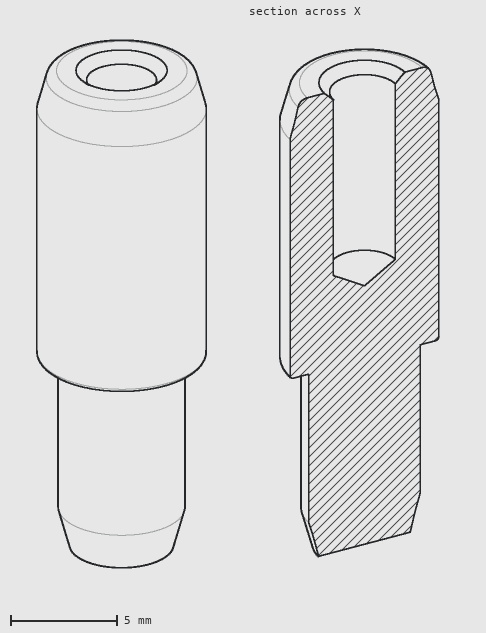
import cadquery as cq
import math

total_length = 25.0
pilot_length = 10.0
body_diameter = 8.0
pilot_diameter = 6.0

taper_angle = 15.0
taper_length = 2.0
taper_inset = taper_length * math.tan(math.radians(taper_angle))

top_edge_radius = 0.5
shoulder_edge_radius = 0.2

hole_diameter = 3.3
hole_depth = 10.0
drill_point_angle = 118.0
countersink_diameter = 4.3
countersink_angle = 90.0


def cone_depth(radius_change, included_angle):
    """Axial length of a cone whose radius changes by the given amount."""
    return radius_change / math.tan(math.radians(included_angle / 2))


def make_pin():
    """Stepped round pin with a taper at each end."""
    body_radius = body_diameter / 2
    pilot_radius = pilot_diameter / 2
    profile = (
        cq.Workplane("XZ")
        .moveTo(0, 0)
        .lineTo(pilot_radius - taper_inset, 0)
        .lineTo(pilot_radius, taper_length)
        .lineTo(pilot_radius, pilot_length)
        .lineTo(body_radius - shoulder_edge_radius, pilot_length)
        .radiusArc((body_radius, pilot_length + shoulder_edge_radius), -shoulder_edge_radius)
        .lineTo(body_radius, total_length - taper_length)
        .lineTo(body_radius - taper_inset, total_length)
        .lineTo(0, total_length)
        .close()
    )
    pin = profile.revolve(360, (0, 0, 0), (0, 1, 0))
    return pin.faces(">Z").edges().fillet(top_edge_radius)


def make_hole():
    """Countersunk drilled hole with a conical bottom, as a cutting solid."""
    hole_radius = hole_diameter / 2
    countersink_radius = countersink_diameter / 2
    countersink_depth = cone_depth(countersink_radius - hole_radius, countersink_angle)
    hole_bottom = total_length - hole_depth
    profile = (
        cq.Workplane("XZ")
        .moveTo(0, total_length)
        .lineTo(countersink_radius, total_length)
        .lineTo(hole_radius, total_length - countersink_depth)
        .lineTo(hole_radius, hole_bottom)
        .lineTo(0, hole_bottom - cone_depth(hole_radius, drill_point_angle))
        .close()
    )
    return profile.revolve(360, (0, 0, 0), (0, 1, 0))


result = make_pin().cut(make_hole())